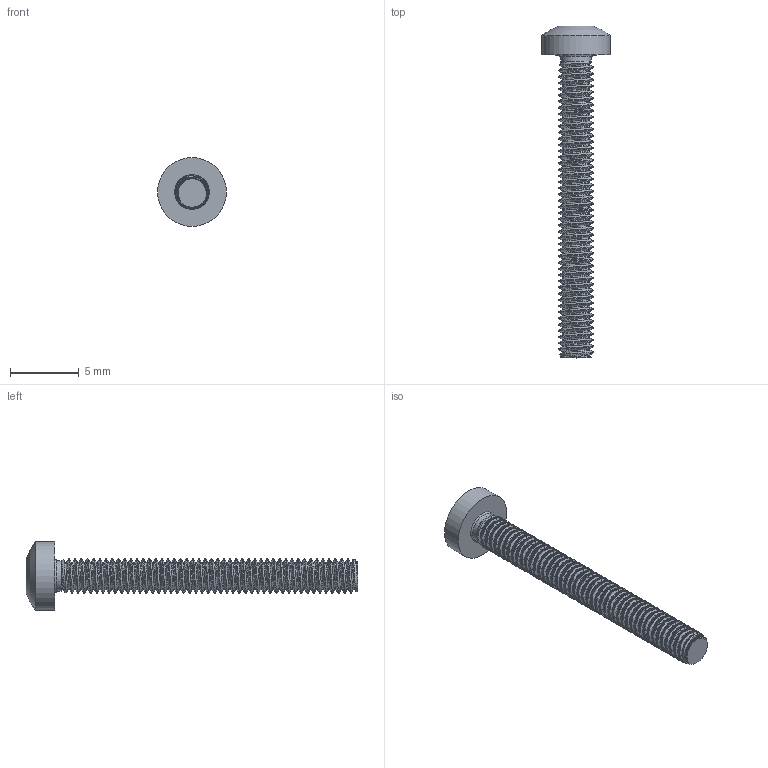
import cadquery as cq
import math


head_diameter = 5.0
head_height = 2.1
dome_radius = 4.0
crown_diameter = 2.4

shank_length = 22.0
thread_diameter = 2.5
pitch = 0.45
plain_length = pitch
runout_length = pitch
neck_fillet = 0.1
tip_chamfer_length = pitch

sharp_height = pitch * math.sqrt(3) / 2
thread_depth = 5 / 8 * sharp_height
crest_width = pitch / 8
flank_slope = math.tan(math.radians(30))
flank_spans = 8
turns_per_block = 8
envelope_gap = 0.1

head_radius = head_diameter / 2
crown_radius = crown_diameter / 2
crest_radius = thread_diameter / 2
root_radius = crest_radius - thread_depth
plain_radius = crest_radius - 3 / 8 * sharp_height


def dome_drop(radius):
    """Depth of the spherical dome below its apex at a given radius."""
    return dome_radius - math.sqrt(dome_radius**2 - radius**2)


def revolve_about_z(profile):
    return profile.close().revolve(360, (0, 0, 0), (0, 1, 0))


def make_head():
    crown_z = -head_height
    rim_z = crown_z + dome_drop(head_radius) - dome_drop(crown_radius)
    mid_radius = (crown_radius + head_radius) / 2
    mid_z = crown_z + dome_drop(mid_radius) - dome_drop(crown_radius)
    return revolve_about_z(
        cq.Workplane("XZ")
        .moveTo(0, crown_z)
        .lineTo(crown_radius, crown_z)
        .threePointArc((mid_radius, mid_z), (head_radius, rim_z))
        .lineTo(head_radius, 0)
        .lineTo(0, 0)
    )


def make_neck():
    """Plain neck with its fillet under the head."""
    return revolve_about_z(
        cq.Workplane("XZ")
        .moveTo(0, 0)
        .lineTo(plain_radius + neck_fillet, 0)
        .radiusArc((plain_radius, neck_fillet), -neck_fillet)
        .lineTo(plain_radius, plain_length)
        .lineTo(0, plain_length)
    )


def polar(radius, angle):
    return (radius * math.cos(angle), radius * math.sin(angle))


def thread_section():
    """Section of the thread square to its axis: crest and root arcs joined by spiral flanks."""
    turn_per_length = 2 * math.pi / pitch
    crest_angle = crest_width / 2 * turn_per_length
    root_angle = (crest_width / 2 + thread_depth * flank_slope) * turn_per_length

    def falling_flank(t):
        return polar(crest_radius - t * thread_depth, crest_angle + t * (root_angle - crest_angle))

    def rising_flank(t):
        x, y = falling_flank(1 - t)
        return (x, -y)

    return (
        cq.Workplane("XY")
        .moveTo(*polar(crest_radius, -crest_angle))
        .threePointArc((crest_radius, 0), polar(crest_radius, crest_angle))
        .parametricCurve(falling_flank, N=flank_spans, makeWire=False)
        .threePointArc((-root_radius, 0), polar(root_radius, -root_angle))
        .parametricCurve(rising_flank, N=flank_spans, makeWire=False)
        .wire()
    )


def make_thread_envelope():
    """Bounds the thread: tapered run-out under the neck and chamfered tip."""
    return revolve_about_z(
        cq.Workplane("XZ")
        .moveTo(0, plain_length)
        .lineTo(plain_radius, plain_length)
        .lineTo(crest_radius, plain_length + runout_length)
        .lineTo(crest_radius + envelope_gap, plain_length + runout_length)
        .lineTo(crest_radius + envelope_gap, shank_length - tip_chamfer_length)
        .lineTo(crest_radius, shank_length - tip_chamfer_length)
        .lineTo(plain_radius, shank_length)
        .lineTo(0, shank_length)
    )


def make_thread_blocks():
    """Right-handed thread as a row of equal twisted blocks; the end blocks are trimmed."""
    block_length = turns_per_block * pitch
    block_count = math.ceil((shank_length - plain_length) / block_length)
    block = thread_section().twistExtrude(block_length, 360 * turns_per_block)
    blocks = [block.translate((0, 0, plain_length + i * block_length)) for i in range(block_count)]
    envelope = make_thread_envelope()
    blocks[0] = blocks[0].intersect(envelope)
    blocks[-1] = blocks[-1].intersect(envelope)
    return blocks


screw = make_head().union(make_neck())
for thread_block in make_thread_blocks():
    screw = screw.union(thread_block, clean=False)
result = screw.rotate((0, 0, 0), (1, 0, 0), 90).solids()